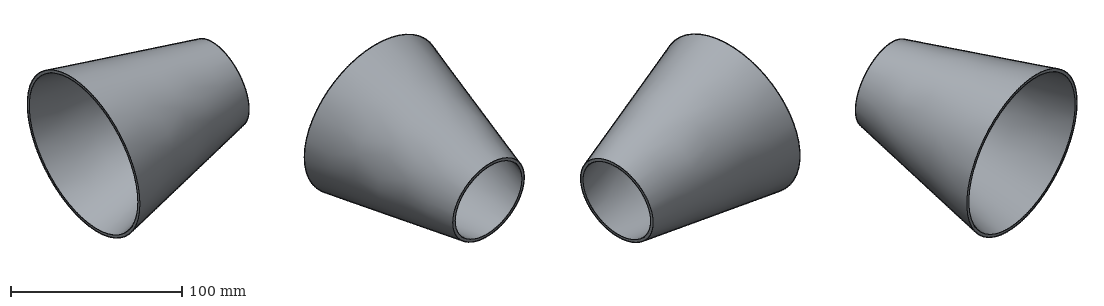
import cadquery as cq

length = 100.0
large_diameter = 108.0
small_diameter = 57.0
wall = 2.0

large_radius = large_diameter / 2
small_radius = small_diameter / 2


def make_reducer():
    """Revolve the slanted wall section about the Y axis, large end at Y = 0."""
    wall_section = (
        cq.Workplane("XY")
        .moveTo(large_radius - wall, 0)
        .lineTo(large_radius, 0)
        .lineTo(small_radius, length)
        .lineTo(small_radius - wall, length)
        .close()
    )
    return wall_section.revolve(360, (0, 0, 0), (0, 1, 0))


result = make_reducer()